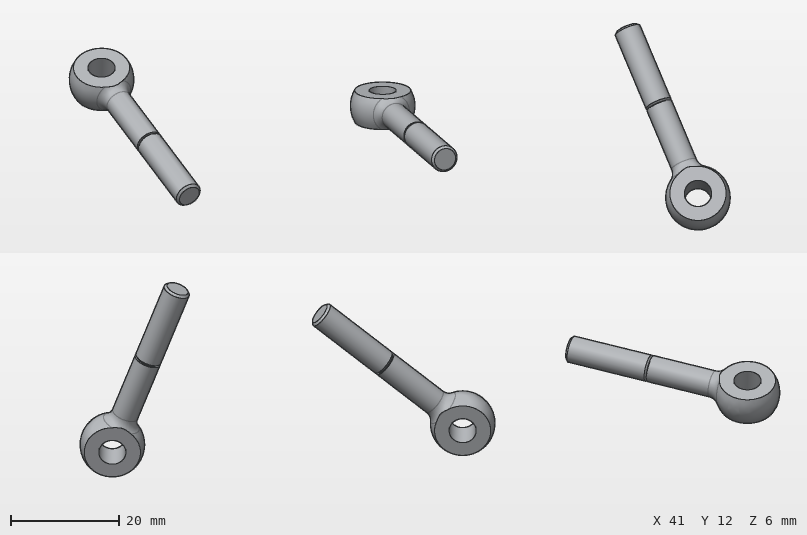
import cadquery as cq
import math

ball_radius = 6.0
eye_thickness = 6.0
hole_diameter = 5.0
shank_radius = 2.5
neck_fillet_radius = 2.5
shank_end_x = 35.0
thread_length = 16.0
thread_chamfer = 0.43

thread_start_x = shank_end_x - thread_length
thread_root_radius = shank_radius - thread_chamfer

fillet_center_r = shank_radius + neck_fillet_radius
fillet_center_x = math.sqrt((ball_radius + neck_fillet_radius) ** 2 - fillet_center_r**2)
fillet_center_angle = math.atan2(fillet_center_r, fillet_center_x)


def ball_point(angle):
    """Point on the ball profile at an angle from the +X axis."""
    return ball_radius * math.cos(angle), ball_radius * math.sin(angle)


def fillet_midpoint():
    """Point halfway along the neck fillet arc."""
    angle = (fillet_center_angle + math.pi + 1.5 * math.pi) / 2
    x = fillet_center_x + neck_fillet_radius * math.cos(angle)
    r = fillet_center_r + neck_fillet_radius * math.sin(angle)
    return x, r


def turned_body():
    """Ball, neck fillet and shank as one profile revolved about the X axis."""
    profile = (
        cq.Workplane("XY")
        .moveTo(-ball_radius, 0)
        .threePointArc(ball_point(math.pi / 2), ball_point(fillet_center_angle))
        .threePointArc(fillet_midpoint(), (fillet_center_x, shank_radius))
        .lineTo(thread_start_x, shank_radius)
        .lineTo(thread_start_x, thread_root_radius)
        .lineTo(thread_start_x + thread_chamfer, shank_radius)
        .lineTo(shank_end_x - thread_chamfer, shank_radius)
        .lineTo(shank_end_x, thread_root_radius)
        .lineTo(shank_end_x, 0)
        .close()
    )
    return profile.revolve(360, (0, 0, 0), (1, 0, 0))


def eye_slab():
    """Slab between the two flat faces of the eye, covering the whole part."""
    length = ball_radius + shank_end_x
    slab_center_x = (shank_end_x - ball_radius) / 2
    slab = cq.Workplane("XY").box(length, 2 * ball_radius, eye_thickness)
    return slab.translate((slab_center_x, 0, 0))


def eye_hole():
    """Through hole of the eye."""
    return cq.Workplane("XY").circle(hole_diameter / 2).extrude(eye_thickness, both=True)


result = turned_body().intersect(eye_slab()).cut(eye_hole())